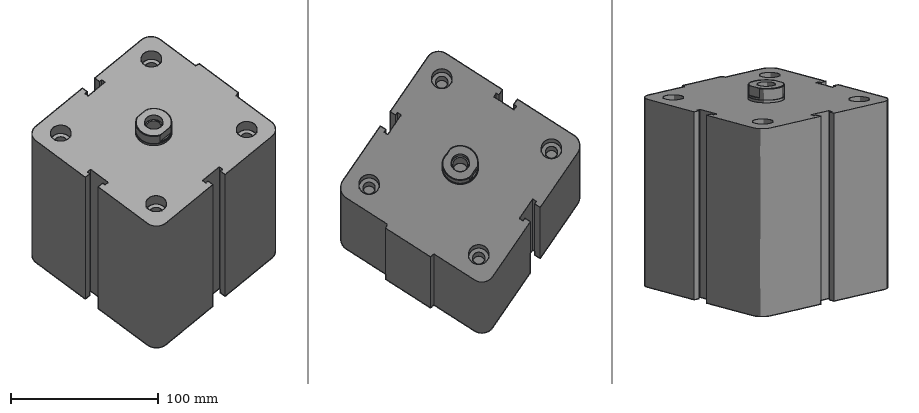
import cadquery as cq

HOUSING_SIDE = 122.0
HOUSING_HEIGHT = 131.6
CAP_HEIGHT = 19.5
TUBE_HEIGHT = HOUSING_HEIGHT - 2 * CAP_HEIGHT
CORNER_RADIUS = 8.9

RIB_BASE_WIDTH = 37.9
RIB_TOP_WIDTH = 36.5
RIB_HEIGHT = 3.0

SLOT_MOUTH_WIDTH = 12.0
SLOT_INNER_WIDTH = 16.4
SLOT_LIP = 4.5
SLOT_DEPTH = 7.5

HOLE_SPACING = 89.1
COUNTERBORE_DIAMETER = 14.0
COUNTERBORE_DEPTH = 9.0
HOLE_DIAMETER = 8.3
HOLE_DEPTH = CAP_HEIGHT

TOTAL_HEIGHT = 141.5
ROD_DIAMETER = 25.0
ROD_TIP_DIAMETER = 24.5
ROD_TIP_CHAMFER = 0.4
ROD_COLLAR_HEIGHT = 1.8
ROD_BORE_DEPTH = CAP_HEIGHT
ROD_BOTTOM = HOUSING_HEIGHT - ROD_BORE_DEPTH

FLATS_WIDTH = 22.1
FLATS_HEIGHT = 6.8

RECESS_DIAMETER = 12.3
RECESS_DEPTH = 5.0
THREAD_DIAMETER = 10.2
THREAD_DEPTH = 19.8


def section_block(bottom, height):
    """One length of the housing: rounded square with the rib on its +Y side."""
    square = (
        cq.Workplane("XY", origin=(0, 0, bottom))
        .rect(HOUSING_SIDE, HOUSING_SIDE)
        .extrude(height)
        .edges("|Z")
        .fillet(CORNER_RADIUS)
    )
    side = HOUSING_SIDE / 2
    rib = (
        cq.Workplane("XY", origin=(0, 0, bottom))
        .polyline([
            (-RIB_BASE_WIDTH / 2, side),
            (-RIB_TOP_WIDTH / 2, side + RIB_HEIGHT),
            (RIB_TOP_WIDTH / 2, side + RIB_HEIGHT),
            (RIB_BASE_WIDTH / 2, side),
        ])
        .close()
        .extrude(height)
    )
    return square.union(rib).cut(t_slots(bottom, height))


def t_slots(bottom, height):
    """The three T-slots for one length of the housing."""
    side = HOUSING_SIDE / 2
    floor = side - SLOT_DEPTH
    lip = side - SLOT_LIP
    mouth = SLOT_MOUTH_WIDTH / 2
    inner = SLOT_INNER_WIDTH / 2
    slot = (
        cq.Workplane("XY", origin=(0, 0, bottom))
        .polyline([
            (-mouth, -side),
            (-mouth, -lip),
            (-inner, -lip),
            (-inner, -floor),
            (inner, -floor),
            (inner, -lip),
            (mouth, -lip),
            (mouth, -side),
        ])
        .close()
        .extrude(height)
    )
    slots = slot
    for turn in (-90, 90):
        slots = slots.union(slot.rotate((0, 0, 0), (0, 0, 1), turn))
    return slots


def drilled_from_top(points, diameter, depth):
    """Cylinders reaching down from the top of the housing."""
    return (
        cq.Workplane("XY", origin=(0, 0, HOUSING_HEIGHT))
        .pushPoints(points)
        .circle(diameter / 2)
        .extrude(-depth)
    )


def make_housing():
    tube = section_block(CAP_HEIGHT, TUBE_HEIGHT)
    bottom_cap = section_block(0, CAP_HEIGHT)
    top_cap = section_block(HOUSING_HEIGHT - CAP_HEIGHT, CAP_HEIGHT)

    half = HOLE_SPACING / 2
    corners = [(x, y) for x in (-half, half) for y in (-half, half)]
    body = bottom_cap.union(tube, clean=False).union(top_cap, clean=False)
    body = body.cut(drilled_from_top(corners, COUNTERBORE_DIAMETER, COUNTERBORE_DEPTH), clean=False)
    body = body.cut(drilled_from_top(corners, HOLE_DIAMETER, HOLE_DEPTH), clean=False)
    return body.cut(drilled_from_top([(0, 0)], ROD_DIAMETER, ROD_BORE_DEPTH), clean=False)


def make_rod():
    collar_top = HOUSING_HEIGHT + ROD_COLLAR_HEIGHT
    shank = (
        cq.Workplane("XY", origin=(0, 0, ROD_BOTTOM))
        .circle(ROD_DIAMETER / 2)
        .extrude(collar_top - ROD_BOTTOM)
    )
    tip = (
        cq.Workplane("XY", origin=(0, 0, collar_top))
        .circle(ROD_TIP_DIAMETER / 2)
        .extrude(TOTAL_HEIGHT - collar_top)
        .faces(">Z")
        .chamfer(ROD_TIP_CHAMFER)
    )
    beyond_flats = (
        cq.Workplane("XY", origin=(0, 0, TOTAL_HEIGHT))
        .rect(2 * ROD_DIAMETER, 2 * ROD_DIAMETER)
        .rect(FLATS_WIDTH, 2 * ROD_DIAMETER)
        .extrude(-FLATS_HEIGHT)
    )
    end = cq.Workplane("XY", origin=(0, 0, TOTAL_HEIGHT))
    recess = end.circle(RECESS_DIAMETER / 2).extrude(-RECESS_DEPTH)
    thread_hole = end.circle(THREAD_DIAMETER / 2).extrude(-THREAD_DEPTH)
    return shank.union(tip).cut(beyond_flats).cut(recess).cut(thread_hole)


housing = make_housing()
rod = make_rod()
result = cq.Compound.makeCompound([housing.val(), rod.val()])